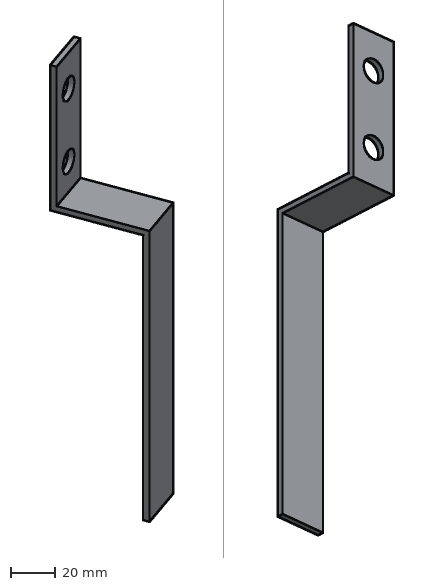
import cadquery as cq

height = 236.8
reach = 50.0
width = 25.3
thickness = 3.3

upper_leg_length = 80.0
hole_diameter = 12.0
hole_spacing = 40.0
end_to_first_hole = 20.0

web_bottom = height - upper_leg_length
web_top = web_bottom + thickness


def bent_bar():
    """Z profile in the XZ plane, extruded evenly to both sides of Y = 0."""
    profile = [
        (0, height),
        (thickness, height),
        (thickness, web_top),
        (reach, web_top),
        (reach, 0),
        (reach - thickness, 0),
        (reach - thickness, web_bottom),
        (0, web_bottom),
    ]
    return cq.Workplane("XZ").polyline(profile).close().extrude(width / 2, both=True)


def mounting_holes():
    """Two cylinders along X that pass through the upper leg."""
    first_hole = height - end_to_first_hole
    centers = [(0, first_hole), (0, first_hole - hole_spacing)]
    return cq.Workplane("YZ").pushPoints(centers).circle(hole_diameter / 2).extrude(thickness)


result = bent_bar().cut(mounting_holes())